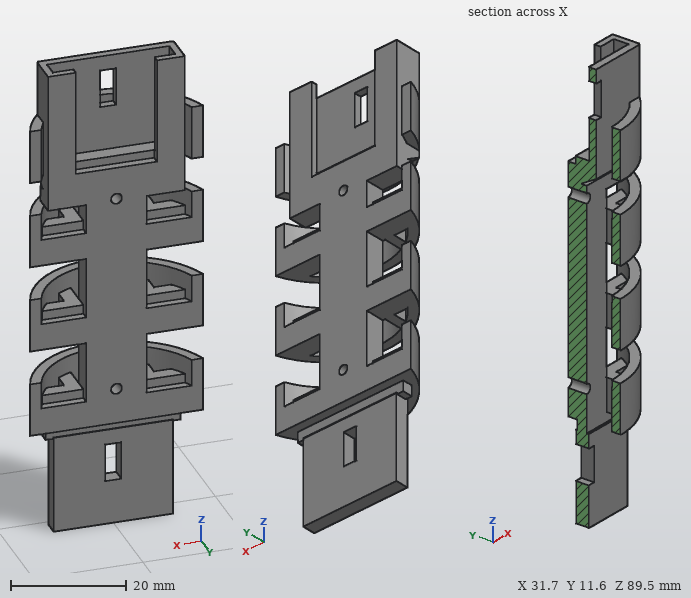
import cadquery as cq


total_height = 89.5
overlap = 0.45

ring_depth = 11.55
ring_radius = 16.65
ring_wall = 2.0
ring_height = 10.0
ring_pitch = 16.4
ring_count = 4
lowest_ring_base = 20.2
ring_center_y = ring_radius - ring_depth
ring_bases = [lowest_ring_base + i * ring_pitch for i in range(ring_count)]

spine_width = 11.1
spine_depth = 4.1
hole_diameter = 2.0
hole_heights = (26.85, 63.8)

web_drop = 3.3
web_step_depth = 1.5
web_step_drop = ring_height / 2
rib_outer = 8.2
left_rib_inner = 6.1

shoulder_width = 24.7
shoulder_back = 1.9
shoulder_base = 18.0

tongue_width = 21.8
tongue_depth = 2.9
tongue_back = 1.7
tongue_top = 18.3

socket_width = 25.1
socket_depth = 6.2
socket_base = 63.5
groove_top = 68.2
groove_base = 66.3
groove_bottom_depth = 2.95

cavity_width = 22.4
cavity_depth = 3.2
lip_depth = 1.3
cavity_floor = 71.3
gap_width = 14.9
gap_depth = 1.6
gap_floor = 69.8

slot_width = 2.95
slot_height = 7.1
slot_from_top = 2.8
slot_base_heights = (8.3, total_height - slot_from_top - slot_height)


def block(width, y_back, y_front, z_low, z_high):
    """Box centred on x = 0, with depths counted from the back plane."""
    return (
        cq.Workplane("XY")
        .box(width, y_front - y_back, z_high - z_low, centered=(True, False, False))
        .translate((0, -y_front, z_low))
    )


def half_cylinder(radius, z_low, z_high):
    """Part of a ring-axis cylinder that lies in front of the back plane."""
    height = z_high - z_low
    disc = cq.Workplane("XY").center(0, ring_center_y).circle(radius).extrude(height)
    return disc.translate((0, 0, z_low)).intersect(block(2 * radius, 0, ring_depth, z_low, z_high))


def ring(z_low):
    """Half-round band, open at the flat back."""
    z_high = z_low + ring_height
    return half_cylinder(ring_radius, z_low, z_high).cut(
        half_cylinder(ring_radius - ring_wall, z_low, z_high)
    )


def rib(x_low, x_high, z_low, z_high):
    """Upright rib between two X positions, reaching forward from the web plate."""
    x_middle = (x_low + x_high) / 2
    upright = block(x_high - x_low, spine_depth - overlap, ring_depth, z_low, z_high)
    return upright.translate((x_middle, 0, 0))


def web(ring_base):
    """Cross plate with a stepped back edge and two ribs, trimmed to end within the ring wall."""
    ring_top = ring_base + ring_height
    z_low = ring_base
    z_high = ring_top - web_drop
    step_floor = ring_top - web_step_drop
    plate = block(2 * ring_radius, 0, spine_depth, z_low, z_high)
    plate = plate.cut(block(2 * ring_radius, 0, web_step_depth, step_floor, z_high))
    left_rib = rib(-rib_outer, -left_rib_inner, z_low, z_high)
    right_rib = rib(spine_width / 2, rib_outer, z_low, z_high)
    return plate.union(left_rib).union(right_rib).intersect(
        half_cylinder(ring_radius - ring_wall / 2, z_low, z_high)
    )


def socket():
    """Solid socket block with a V groove across its front and corners trimmed to the ring radius."""
    profile = [
        (0, socket_base),
        (-spine_depth, socket_base),
        (-spine_depth, groove_base),
        (-groove_bottom_depth, groove_base),
        (-socket_depth, groove_top),
        (-socket_depth, total_height),
        (0, total_height),
    ]
    body = cq.Workplane("YZ").polyline(profile).close().extrude(socket_width / 2, both=True)
    return body.intersect(half_cylinder(ring_radius, socket_base, total_height))


result = socket()
for base in ring_bases:
    result = result.union(ring(base))
for base in ring_bases[:-1]:
    result = result.union(web(base))
result = result.union(block(spine_width, 0, spine_depth, lowest_ring_base, socket_base + overlap))
shoulder_top = lowest_ring_base + overlap
result = result.union(block(shoulder_width, shoulder_back, spine_depth, shoulder_base, shoulder_top))
result = result.union(block(tongue_width, tongue_back, tongue_back + tongue_depth, 0, tongue_top))

result = result.cut(block(cavity_width, lip_depth, lip_depth + cavity_depth, cavity_floor, total_height))
result = result.cut(block(gap_width, 0, gap_depth, gap_floor, total_height))

for base in slot_base_heights:
    result = result.cut(block(slot_width, 0, socket_depth, base, base + slot_height))

hole_centers = [(0, height) for height in hole_heights]
holes = cq.Workplane("XZ").pushPoints(hole_centers).circle(hole_diameter / 2).extrude(socket_depth)
result = result.cut(holes)